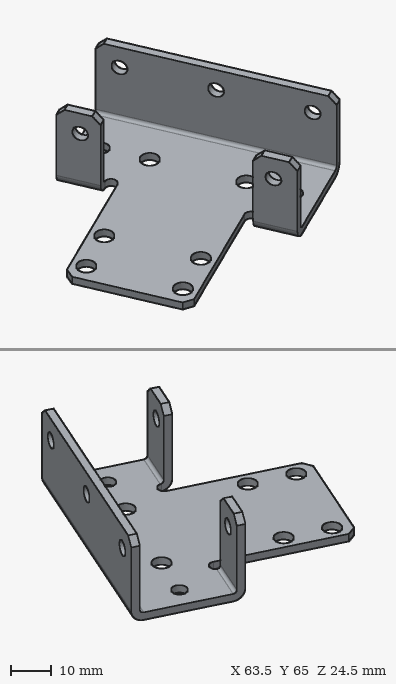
import cadquery as cq

width = 63.5
length = 65.0
height = 24.5
thickness = 2.3
inner_bend = 1.0
outer_bend = inner_bend + thickness
corner_cut = 2.2

channel_depth = 30.0
tongue_width = 33.45
relief_width = 3.3
relief_depth = 25.5
tab_width = (width - tongue_width) / 2 - relief_width

large_hole = 5.0
small_hole = 4.15
large_spacing = 25.4
small_spacing = 50.8
front_row_inset = 5.15
tongue_row_spacing = 12.75
channel_row_inset = channel_depth / 2
upright_hole_drop = 6.35

back = length / 2
front = -length / 2
tab_front = back - channel_depth


def make_channel():
    """U-shaped bent sheet: the rear wall, the base and the full-width front wall."""
    outer = (
        cq.Workplane("XY")
        .box(width, channel_depth, height, centered=(True, False, False))
        .translate((0, tab_front, 0))
        .edges("|X and <Z")
        .fillet(outer_bend)
    )
    inner = (
        cq.Workplane("XY")
        .box(width, channel_depth - 2 * thickness, height, centered=(True, False, False))
        .translate((0, tab_front + thickness, thickness))
        .edges("|X and <Z")
        .fillet(inner_bend)
    )
    return outer.cut(inner)


def make_front_opening():
    """Clears the front wall between the tabs, with round-ended bend reliefs."""
    opening_width = width - 2 * tab_width
    relief_radius = relief_width / 2
    relief_center_y = back - relief_depth - relief_radius
    opening = (
        cq.Workplane("XY")
        .box(opening_width, relief_center_y - tab_front, height, centered=(True, False, False))
        .translate((0, tab_front, 0))
    )
    relief_x = (tongue_width + relief_width) / 2
    relief_ends = (
        cq.Workplane("XY")
        .pushPoints([(-relief_x, relief_center_y), (relief_x, relief_center_y)])
        .circle(relief_radius)
        .extrude(height)
    )
    bend_clearance = (
        cq.Workplane("XY")
        .box(tongue_width, outer_bend, height, centered=(True, False, False))
        .translate((0, tab_front, 0))
    )
    return opening.union(relief_ends).union(bend_clearance)


def make_tongue():
    """Flat base plate running forward between the reliefs."""
    tongue_back = back - outer_bend
    return (
        cq.Workplane("XY")
        .box(tongue_width, tongue_back - front, thickness, centered=(True, False, False))
        .translate((0, front, 0))
        .edges("|Z and <Y")
        .chamfer(corner_cut)
    )


def vertical_holes(points, diameter):
    return cq.Workplane("XY").pushPoints(points).circle(diameter / 2).extrude(thickness)


uprights = make_channel().cut(make_front_opening())
uprights = uprights.edges("|Y and >Z").chamfer(corner_cut)
result = uprights.union(make_tongue())

channel_row_y = back - channel_row_inset
front_row_y = front + front_row_inset
row_positions = [front_row_y, front_row_y + tongue_row_spacing, channel_row_y]
large_points = [(side * large_spacing / 2, y) for side in (-1, 1) for y in row_positions]
small_points = [(side * small_spacing / 2, channel_row_y) for side in (-1, 1)]
result = result.cut(vertical_holes(large_points, large_hole))
result = result.cut(vertical_holes(small_points, small_hole))

upright_hole_z = height - upright_hole_drop
upright_points = [(column * small_spacing / 2, upright_hole_z) for column in (-1, 0, 1)]
upright_holes = (
    cq.Workplane("XZ")
    .pushPoints(upright_points)
    .circle(small_hole / 2)
    .extrude(length / 2, both=True)
)
result = result.cut(upright_holes)